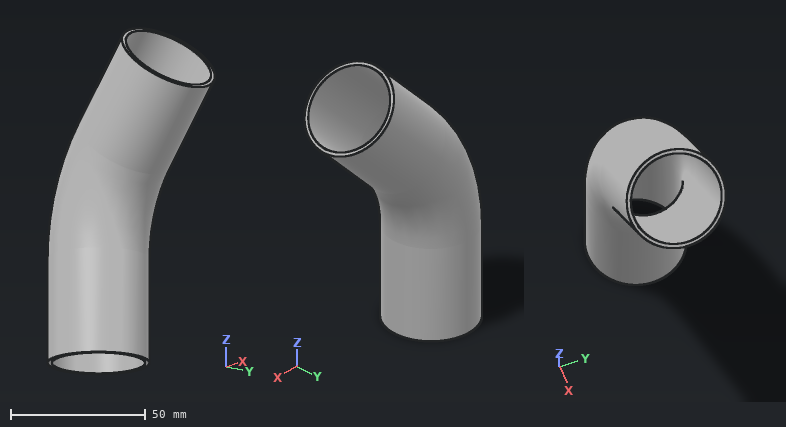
import cadquery as cq
import math

overall_height = 121.9
outer_diameter = 38.1
inner_diameter = 34.9
bend_angle = 45.0
bend_radius = 1.5 * outer_diameter

angle = math.radians(bend_angle)
bend_rise = (bend_radius + outer_diameter / 2) * math.sin(angle)
leg_length = (overall_height - bend_rise) / (1 + math.cos(angle))


def bend_point(turn):
    """Point on the centreline arc after turning by the given angle."""
    x = bend_radius * (1 - math.cos(turn))
    z = leg_length + bend_radius * math.sin(turn)
    return x, z


bend_end_x, bend_end_z = bend_point(angle)
tip = (
    bend_end_x + leg_length * math.sin(angle),
    bend_end_z + leg_length * math.cos(angle),
)
centreline = (
    cq.Workplane("XZ")
    .lineTo(0, leg_length)
    .threePointArc(bend_point(angle / 2), (bend_end_x, bend_end_z))
    .lineTo(*tip)
)

result = (
    cq.Workplane("XY")
    .circle(outer_diameter / 2)
    .circle(inner_diameter / 2)
    .sweep(centreline)
)